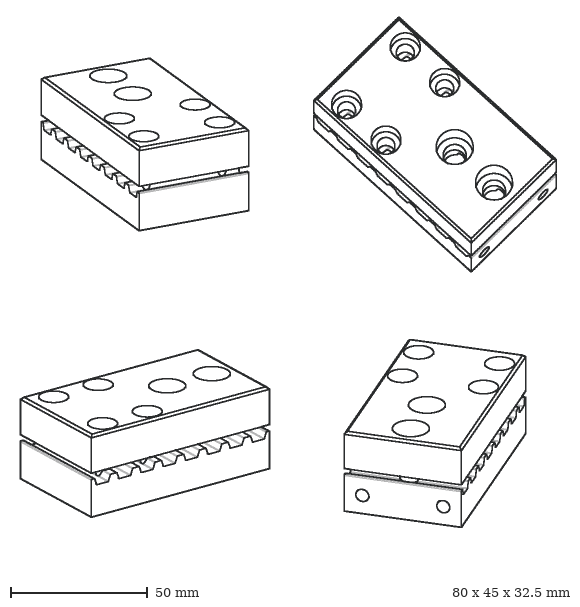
import cadquery as cq
import math

LENGTH = 80.0
WIDTH = 45.0
TOTAL_HEIGHT = 32.5
PLATE_GAP = 2.5
PLATE_THICKNESS = (TOTAL_HEIGHT - PLATE_GAP) / 2
COVER_BOTTOM = PLATE_THICKNESS + PLATE_GAP

COVER_CHAMFER = 1.0

GROOVE_COUNT = 8
GROOVE_PITCH = LENGTH / GROOVE_COUNT
GROOVE_DEPTH = 2.6
GROOVE_FLOOR_WIDTH = 5.2
FLANK_ANGLE = 20.0
GROOVE_TOP_WIDTH = GROOVE_FLOOR_WIDTH + 2 * GROOVE_DEPTH * math.tan(math.radians(FLANK_ANGLE))
LAND_CORNER_RADIUS = 0.3
GROOVE_ROOT_RADIUS = 0.3

SCREW_SPACING = 2 * GROOVE_PITCH
LARGE_SCREW_X = [-1.5 * SCREW_SPACING, -0.5 * SCREW_SPACING]
SMALL_SCREW_X = [0.5 * SCREW_SPACING, 1.5 * SCREW_SPACING]
SMALL_SCREW_Y = 15.5
LARGE_POINTS = [(x, 0) for x in LARGE_SCREW_X]
SMALL_POINTS = [(x, side * SMALL_SCREW_Y) for x in SMALL_SCREW_X for side in (-1, 1)]

LARGE_HOLE_DIAMETER = 8.4
LARGE_LOWER_HOLE_DIAMETER = 8.2
LARGE_HEAD_DIAMETER = 13.5
LARGE_HEAD_DEPTH = 9.0
SMALL_HOLE_DIAMETER = 6.6
SMALL_HEAD_DIAMETER = 11.0
SMALL_HEAD_DEPTH = 6.2

TAP_DIAMETER = 5.0
END_HOLE_DEPTH = 15.0
DRILL_POINT_ANGLE = 118.0


def plate_blank(bottom):
    """Plain rectangular plate standing on the given height."""
    return cq.Workplane("XY", origin=(0, 0, bottom)).box(
        LENGTH, WIDTH, PLATE_THICKNESS, centered=(True, True, False)
    )


def make_cover_plate():
    """Upper plate with a chamfered rim and counterbored screw holes."""
    cover = plate_blank(COVER_BOTTOM).faces(">Z").chamfer(COVER_CHAMFER)
    top = cq.Workplane("XY", origin=(0, 0, TOTAL_HEIGHT))
    hole_sets = [
        (LARGE_POINTS, LARGE_HOLE_DIAMETER, LARGE_HEAD_DIAMETER, LARGE_HEAD_DEPTH),
        (SMALL_POINTS, SMALL_HOLE_DIAMETER, SMALL_HEAD_DIAMETER, SMALL_HEAD_DEPTH),
    ]
    for points, hole_diameter, head_diameter, head_depth in hole_sets:
        shanks = top.pushPoints(points).circle(hole_diameter / 2).extrude(-PLATE_THICKNESS)
        heads = top.pushPoints(points).circle(head_diameter / 2).extrude(-head_depth)
        cover = cover.cut(shanks).cut(heads)
    return cover


def groove_cutter(center_x):
    """Trapezoidal bar with rounded lower edges that cuts one belt groove through the full width."""
    floor = PLATE_THICKNESS - GROOVE_DEPTH
    return (
        cq.Workplane("XZ", origin=(center_x, 0, 0))
        .moveTo(-GROOVE_FLOOR_WIDTH / 2, floor)
        .lineTo(GROOVE_FLOOR_WIDTH / 2, floor)
        .lineTo(GROOVE_TOP_WIDTH / 2, PLATE_THICKNESS)
        .lineTo(-GROOVE_TOP_WIDTH / 2, PLATE_THICKNESS)
        .close()
        .extrude(WIDTH / 2, both=True)
        .faces("<Z")
        .edges("|Y")
        .fillet(GROOVE_ROOT_RADIUS)
    )


def end_hole(y):
    """Blind hole from the -X end at mid thickness, with a conical drill point."""
    radius = TAP_DIAMETER / 2
    point_length = radius / math.tan(math.radians(DRILL_POINT_ANGLE / 2))
    return (
        cq.Workplane("XY", origin=(-LENGTH / 2, y, PLATE_THICKNESS / 2))
        .lineTo(0, radius)
        .lineTo(END_HOLE_DEPTH, radius)
        .lineTo(END_HOLE_DEPTH + point_length, 0)
        .close()
        .revolve(360, (0, 0, 0), (1, 0, 0))
    )


def make_toothed_plate():
    """Lower plate with rounded belt teeth, screw holes and two blind end holes."""
    plate = plate_blank(0)
    for index in range(GROOVE_COUNT):
        plate = plate.cut(groove_cutter((index + 0.5) * GROOVE_PITCH - LENGTH / 2))
    plate = plate.faces(">Z").edges("|Y").fillet(LAND_CORNER_RADIUS)

    bottom = cq.Workplane("XY")
    hole_sets = [(LARGE_POINTS, LARGE_LOWER_HOLE_DIAMETER), (SMALL_POINTS, TAP_DIAMETER)]
    for points, diameter in hole_sets:
        plate = plate.cut(bottom.pushPoints(points).circle(diameter / 2).extrude(PLATE_THICKNESS))
    for side in (-1, 1):
        plate = plate.cut(end_hole(side * SMALL_SCREW_Y))
    return plate


cover_plate = make_cover_plate()
toothed_plate = make_toothed_plate()

result = cq.Compound.makeCompound([cover_plate.val(), toothed_plate.val()])